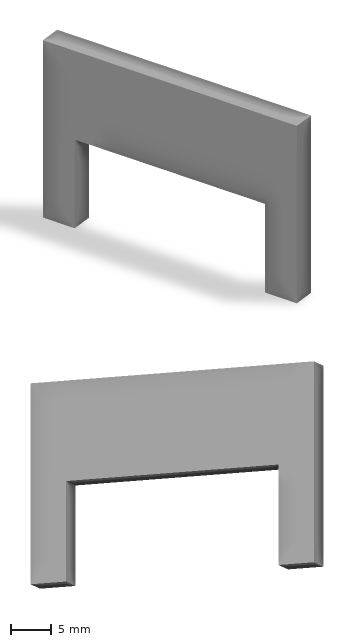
import cadquery as cq

length = 38.1
thickness = 3.15
height = 25.4
leg_width = 4.75

opening_width = length - 2 * leg_width
opening_height = height / 2

plate = cq.Workplane("XY").box(length, thickness, height, centered=(True, True, False))

opening = cq.Workplane("XY").box(
    opening_width, thickness, opening_height, centered=(True, True, False)
)

result = plate.cut(opening)